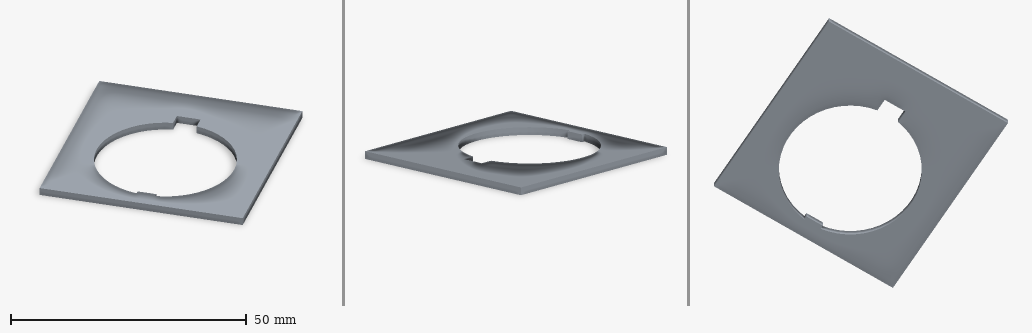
import cadquery as cq

plate_width = 44.8
plate_length = 45.75
plate_thickness = 1.7

hole_diameter = 30.3
hole_center_y = -4.25

notch_width = 5.2
notch_end_y = 13.6

tab_width = 4.1
tab_end_y = -18.45


def block_between(width, start_y, end_y):
    """Full-thickness block centered on X, spanning start_y to end_y."""
    middle_y = (start_y + end_y) / 2
    return cq.Workplane("XY").center(0, middle_y).box(width, end_y - start_y, plate_thickness)


def make_opening():
    """Solid to remove: the round hole plus the notch, less the tab."""
    hole = (
        cq.Workplane("XY")
        .center(0, hole_center_y)
        .circle(hole_diameter / 2)
        .extrude(plate_thickness / 2, both=True)
    )
    notch = block_between(notch_width, hole_center_y, notch_end_y)
    hole_bottom_y = hole_center_y - hole_diameter / 2
    tab = block_between(tab_width, hole_bottom_y, tab_end_y)
    return hole.union(notch).cut(tab)


plate = cq.Workplane("XY").box(plate_width, plate_length, plate_thickness)
result = plate.cut(make_opening())